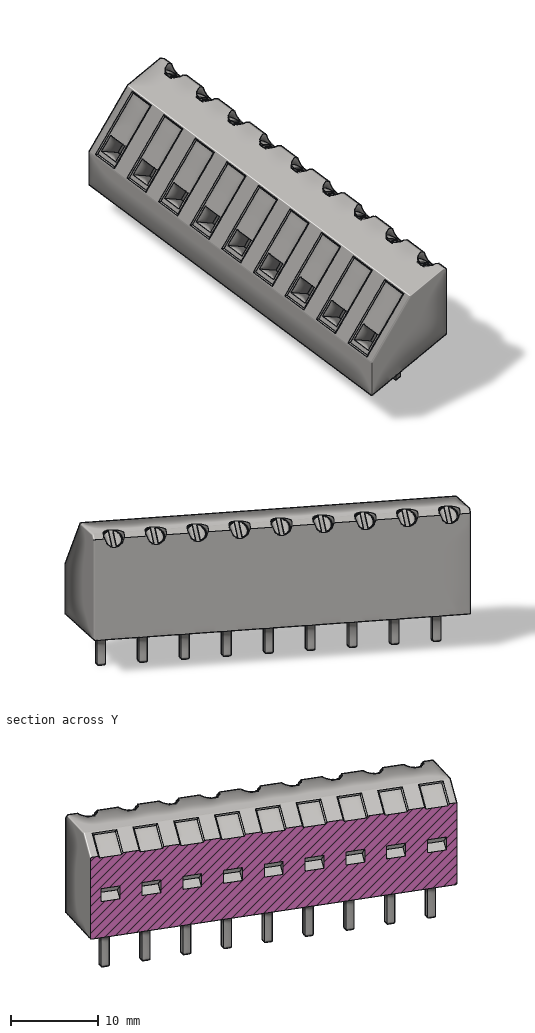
import cadquery as cq
import math

length = 45.0
depth = 12.5
body_height = 12.5
poles = 9
pitch = length / poles
slope_run = 6.5
rear_chamfer = 0.55
edge_radius = 0.22

slope_length = slope_run * math.sqrt(2)
recess_width = 3.0
recess_margin = 0.248
recess_depth = 0.158
recess_taper = 45
wire_hole_width = 2.25
wire_hole_height = 2.15
wire_hole_margin = 0.95
wire_hole_depth = 4.05

screw_pocket_diameter = 2.48
screw_head_diameter = 2.15
screw_head_height = 0.2
screw_from_back = 1.05
screw_below_top = 0.9
screw_pocket_reach = 3.6
screw_slot_width = 0.55

pin_width = 1.0
pin_thickness = 0.8
pin_length = 4.6
pin_from_back = 6.08
pin_tip_radius = 0.3

front = -depth / 2
back = depth / 2
slope_bottom = body_height - slope_run
pole_positions = [(i - (poles - 1) / 2) * pitch for i in range(poles)]


def make_housing():
    """Side profile stretched along X, with edges rounded except the long ones at the bottom and back."""
    profile = [
        (front, 0),
        (back, 0),
        (back, body_height - rear_chamfer),
        (back - rear_chamfer, body_height),
        (front + slope_run, body_height),
        (front, slope_bottom),
    ]
    body = cq.Workplane("YZ").polyline(profile).close().extrude(length / 2, both=True)
    rounded_edges = "not (|X and (<Z or >Y))"
    return body.edges(rounded_edges).fillet(edge_radius)


def slope_plane(x):
    """Plane on the sloped face: local Y runs up the slope from its lower edge."""
    return cq.Workplane(cq.Plane(origin=(x, front, slope_bottom), xDir=(1, 0, 0), normal=(0, -1, 1)))


def make_wire_entry(x):
    """Shallow recess with sloping walls plus the rectangular hole in its floor."""
    recess = (
        slope_plane(x)
        .center(0, slope_length / 2)
        .rect(recess_width, slope_length - 2 * recess_margin)
        .extrude(-recess_depth, taper=recess_taper)
    )
    hole = (
        slope_plane(x)
        .center(0, wire_hole_margin + wire_hole_height / 2)
        .rect(wire_hole_width, wire_hole_height)
        .extrude(-wire_hole_depth)
    )
    return recess.union(hole)


def make_screw_pocket(x):
    """Tilted round pocket that leaves a raised, slotted screw head standing on its floor."""
    centre = (x, back - screw_from_back, body_height - screw_below_top)
    plane = cq.Plane(origin=centre, xDir=(1, 0, 0), normal=(0, 1, 1))
    pocket = cq.Workplane(plane).circle(screw_pocket_diameter / 2).extrude(screw_pocket_reach)
    head = cq.Workplane(plane).circle(screw_head_diameter / 2).extrude(screw_head_height)
    slot = cq.Workplane(plane).rect(screw_slot_width, screw_head_diameter).extrude(screw_head_height)
    return pocket.cut(head.cut(slot))


def make_pin(x):
    """Flat solder pin with a rounded tip."""
    pin = (
        cq.Workplane("XY")
        .center(x, back - pin_from_back)
        .rect(pin_width, pin_thickness)
        .extrude(-pin_length)
    )
    return pin.faces("<Z").edges().fillet(pin_tip_radius)


result = make_housing()
for pole_x in pole_positions:
    result = result.cut(make_wire_entry(pole_x))
    result = result.cut(make_screw_pocket(pole_x))
    result = result.union(make_pin(pole_x))